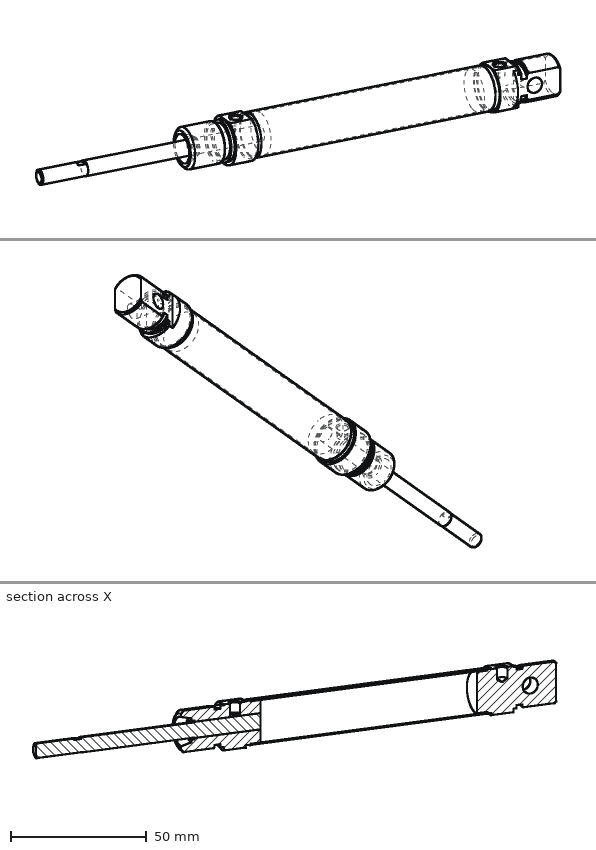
import cadquery as cq

overall_length = 214.5
rear_end_y = overall_length / 2

tube_diameter = 17.4
tube_bore = 16.0
neck_diameter = 17.2
flange_diameter = 18.9
thread_diameter = 16.0
groove_diameter = 13.7

rear_chamfer = 0.6
rear_groove_start = 14.0
groove_width = 2.4
collar_width = 1.3
rear_flange_start = rear_groove_start + groove_width + collar_width
flange_length = 9.2
rear_flange_end = rear_flange_start + flange_length
neck_length = 1.7
tube_start = rear_flange_end + neck_length
spigot_length = 4.3

eye_thickness = 12.0
eye_flat_end = 19.5
eye_hole_diameter = 6.0
eye_hole_station = 10.7

tube_end = 126.1
front_flange_start = tube_end + neck_length
front_flange_end = front_flange_start + flange_length
front_groove_start = front_flange_end + collar_width
front_thread_start = front_groove_start + groove_width
front_cap_end = 154.7
groove_chamfer = 0.5
front_chamfer = (thread_diameter - groove_diameter) / 2

recess_diameter = 11.2
recess_floor_diameter = 9.0
rod_seal_diameter = 7.0
recess_depth = 4.3
rod_seal_depth = 1.3

port_flat_height = 8.4
port_diameter = 4.0
port_mouth_diameter = 5.0
port_depth = 4.3
drill_point_depth = 1.3
port_offset = 4.7

rod_diameter = 6.0
rod_tip_diameter = 5.8
rod_tip_start = 195.5
rod_tip_chamfer = 0.5
rod_end_face_diameter = 4.3
wrench_flat_start = 195.8
wrench_flat_length = 2.8
wrench_flat_height = 2.4


def revolve_profile(points):
    """Revolve a closed (diameter, station) outline around the Y axis."""
    outline = [(diameter / 2, rear_end_y - station) for diameter, station in points]
    return cq.Workplane("XY").polyline(outline).close().revolve(360, (0, 0, 0), (0, 1, 0))


def box_between(size_x, size_z, start, end):
    """Box centred on the Y axis between two stations."""
    middle_y = rear_end_y - (start + end) / 2
    return cq.Workplane("XY").box(size_x, end - start, size_z).translate((0, middle_y, 0))


def cut_port(cap, flange_start, flange_end, port_station, point_depth):
    """Flatten the top of a flange and drill a blind port with a chamfered mouth and an optional drill point."""
    above_flat = box_between(flange_diameter, flange_diameter, flange_start, flange_end)
    cap = cap.cut(above_flat.translate((0, 0, port_flat_height + flange_diameter / 2)))
    mouth_depth = (port_mouth_diameter - port_diameter) / 2
    outline = [
        (0, 0),
        (port_mouth_diameter / 2, 0),
        (port_diameter / 2, -mouth_depth),
        (port_diameter / 2, -port_depth),
        (0, -port_depth - point_depth),
    ]
    port = cq.Workplane("XZ").polyline(outline).close().revolve(360, (0, 0, 0), (0, 1, 0))
    port = port.translate((0, rear_end_y - port_station, port_flat_height))
    return cap.cut(port)


def make_rear_cap():
    cap = revolve_profile([
        (0, 0),
        (thread_diameter - 2 * rear_chamfer, 0),
        (thread_diameter, rear_chamfer),
        (thread_diameter, rear_groove_start - groove_chamfer),
        (thread_diameter - 2 * groove_chamfer, rear_groove_start),
        (groove_diameter, rear_groove_start),
        (groove_diameter, rear_groove_start + groove_width),
        (thread_diameter, rear_groove_start + groove_width),
        (thread_diameter, rear_flange_start),
        (flange_diameter, rear_flange_start),
        (flange_diameter, rear_flange_end),
        (neck_diameter, rear_flange_end),
        (neck_diameter, tube_start),
        (tube_bore, tube_start),
        (tube_bore, tube_start + spigot_length),
        (0, tube_start + spigot_length),
    ])
    eye_zone = box_between(2 * flange_diameter, 2 * flange_diameter, 0, eye_flat_end)
    eye_core = box_between(eye_thickness, 2 * flange_diameter, 0, eye_flat_end)
    cap = cap.cut(eye_zone.cut(eye_core))
    eye_hole = (
        cq.Workplane("YZ")
        .center(rear_end_y - eye_hole_station, 0)
        .circle(eye_hole_diameter / 2)
        .extrude(flange_diameter, both=True)
    )
    cap = cap.cut(eye_hole)
    port_station = rear_flange_start + port_offset
    return cut_port(cap, rear_flange_start, rear_flange_end, port_station, drill_point_depth)


def make_tube():
    return revolve_profile([
        (tube_bore, tube_start),
        (tube_diameter, tube_start),
        (tube_diameter, tube_end),
        (tube_bore, tube_end),
    ])


def make_front_cap():
    cap = revolve_profile([
        (rod_diameter, tube_end - spigot_length),
        (tube_bore, tube_end - spigot_length),
        (tube_bore, tube_end),
        (neck_diameter, tube_end),
        (neck_diameter, front_flange_start),
        (flange_diameter, front_flange_start),
        (flange_diameter, front_flange_end),
        (thread_diameter, front_flange_end),
        (thread_diameter, front_groove_start),
        (groove_diameter, front_groove_start),
        (groove_diameter, front_thread_start),
        (thread_diameter - 2 * groove_chamfer, front_thread_start),
        (thread_diameter, front_thread_start + groove_chamfer),
        (thread_diameter, front_cap_end - front_chamfer),
        (groove_diameter, front_cap_end),
        (recess_diameter, front_cap_end),
        (recess_floor_diameter, front_cap_end - recess_depth),
        (rod_seal_diameter, front_cap_end - recess_depth),
        (rod_seal_diameter, front_cap_end - recess_depth - rod_seal_depth),
        (rod_diameter, front_cap_end - recess_depth - rod_seal_depth),
    ])
    port_station = front_flange_end - port_offset
    return cut_port(cap, front_flange_start, front_flange_end, port_station, 0)


def make_rod():
    rod = revolve_profile([
        (0, tube_end - spigot_length),
        (rod_diameter, tube_end - spigot_length),
        (rod_diameter, rod_tip_start),
        (rod_tip_diameter, rod_tip_start),
        (rod_tip_diameter, overall_length - rod_tip_chamfer),
        (rod_end_face_diameter, overall_length),
        (0, overall_length),
    ])
    wrench_flat_end = wrench_flat_start + wrench_flat_length
    flat_cutter = box_between(rod_diameter, rod_diameter, wrench_flat_start, wrench_flat_end)
    return rod.cut(flat_cutter.translate((0, 0, wrench_flat_height + rod_diameter / 2)))


rear_cap = make_rear_cap()
tube = make_tube()
front_cap = make_front_cap()
rod = make_rod()

result = cq.Compound.makeCompound([rear_cap.val(), tube.val(), front_cap.val(), rod.val()])